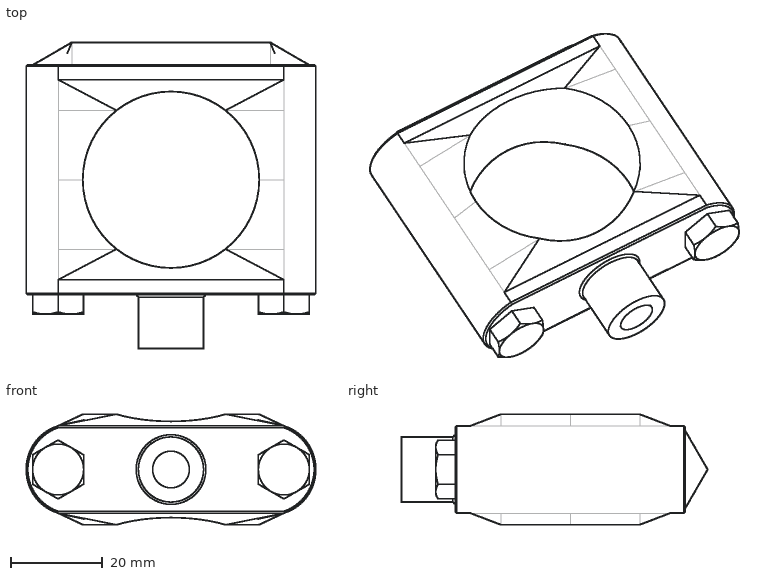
import cadquery as cq
import math

boss_end_y = -36.83
overall_length = 66.79
ridge_y = boss_end_y + overall_length

body_width = 63.17
body_thickness = 19.05
body_half_length = 25.1
flat_half_width = 24.6
edge_chamfer = 0.4

roof_half_width = 21.6
roof_angle = 30.0
roof_base_radius = (ridge_y - body_half_length) / math.tan(math.radians(roof_angle))

bore_radius = 19.2
pad_half_thickness = 24.13 / 2
pad_half_length = 21.8
arc_end_y = 15.1
arc_end_x = math.sqrt(bore_radius**2 - arc_end_y**2)
arc_middle_angle = math.atan2(arc_end_y, arc_end_x) / 2

boss_diameter = 14.2
boss_chamfer = 0.5
hole_diameter = 8.0
hole_depth = 12.0
drill_tip_angle = 118.0

bolt_x = flat_half_width
head_across_flats = 11.11
head_height = 4.2
head_chamfer_angle = 30.0


def end_plane(y):
    """Sketch plane across the part at the given Y, with its normal toward -Y."""
    return cq.Workplane("XZ", origin=(0, y, 0))


def make_body():
    half_width = body_width / 2
    half_thickness = body_thickness / 2
    body = (
        end_plane(body_half_length)
        .moveTo(-flat_half_width, half_thickness)
        .lineTo(flat_half_width, half_thickness)
        .threePointArc((half_width, 0), (flat_half_width, -half_thickness))
        .lineTo(-flat_half_width, -half_thickness)
        .threePointArc((-half_width, 0), (-flat_half_width, half_thickness))
        .close()
        .extrude(2 * body_half_length)
    )
    return body.faces("<Y or >Y").chamfer(edge_chamfer)


def make_roof():
    """Gabled roof with conical ends."""
    roof = (
        cq.Workplane("YZ", origin=(-roof_half_width, 0, 0))
        .polyline([
            (body_half_length, -roof_base_radius),
            (ridge_y, 0),
            (body_half_length, roof_base_radius),
        ])
        .close()
        .extrude(2 * roof_half_width)
    )
    for x in (-roof_half_width, roof_half_width):
        cone = cq.Solid.makeCone(
            roof_base_radius,
            0,
            ridge_y - body_half_length,
            pnt=cq.Vector(x, body_half_length, 0),
            dir=cq.Vector(0, 1, 0),
        )
        roof = roof.union(cq.Workplane(cone))
    return roof


def make_pad_slopes():
    """Flat slopes of both pads, common to the width and length profiles."""

    def octagonal_outline(plane, foot, crest):
        half_thickness = body_thickness / 2
        return plane.polyline([
            (-foot, half_thickness),
            (-crest, pad_half_thickness),
            (crest, pad_half_thickness),
            (foot, half_thickness),
            (foot, -half_thickness),
            (crest, -pad_half_thickness),
            (-crest, -pad_half_thickness),
            (-foot, -half_thickness),
        ]).close()

    across = octagonal_outline(end_plane(0), flat_half_width, arc_end_x)
    along = octagonal_outline(cq.Workplane("YZ"), pad_half_length, arc_end_y)
    return across.extrude(pad_half_length, both=True).intersect(
        along.extrude(flat_half_width, both=True)
    )


def make_pad_flank():
    """Quarter of the stock beside the bore, ruled above and below from bore arc to straight foot.

    The stock reaches inside the bore radius, so cutting the bore leaves one plain cylinder.
    """
    foot_z = body_thickness / 2
    crest_z = pad_half_thickness

    def bore_arc(z):
        middle_x = bore_radius * math.cos(arc_middle_angle)
        middle_y = bore_radius * math.sin(arc_middle_angle)
        return cq.Edge.makeThreePointArc(
            cq.Vector(bore_radius, 0, z),
            cq.Vector(middle_x, middle_y, z),
            cq.Vector(arc_end_x, arc_end_y, z),
        )

    def line_along_y(x, z):
        return cq.Edge.makeLine(cq.Vector(x, 0, z), cq.Vector(x, arc_end_y, z))

    def end_face(section, y):
        points = [cq.Vector(x, y, z) for x, z in section]
        return cq.Face.makeFromWires(cq.Wire.makePolygon(points, close=True))

    def side_wall(x, half_height):
        return cq.Face.makeRuledSurface(line_along_y(x, -half_height), line_along_y(x, half_height))

    def crest_face(z):
        corner = cq.Vector(arc_end_x, 0, z)
        return cq.Face.makeFromWires(cq.Wire.assembleEdges([
            cq.Edge.makeLine(corner, cq.Vector(bore_radius, 0, z)),
            bore_arc(z),
            cq.Edge.makeLine(cq.Vector(arc_end_x, arc_end_y, z), corner),
        ]))

    outer_section = [
        (arc_end_x, crest_z),
        (flat_half_width, foot_z),
        (flat_half_width, -foot_z),
        (arc_end_x, -crest_z),
    ]
    middle_section = [
        (arc_end_x, crest_z),
        (bore_radius, crest_z),
        (flat_half_width, foot_z),
        (flat_half_width, -foot_z),
        (bore_radius, -crest_z),
        (arc_end_x, -crest_z),
    ]
    faces = [
        side_wall(arc_end_x, crest_z),
        side_wall(flat_half_width, foot_z),
        end_face(middle_section, 0),
        end_face(outer_section, arc_end_y),
    ]
    for side in (-1, 1):
        faces.append(crest_face(side * crest_z))
        faces.append(
            cq.Face.makeRuledSurface(bore_arc(side * crest_z), line_along_y(flat_half_width, side * foot_z))
        )
    return cq.Solid.makeSolid(cq.Shell.makeShell(faces))


def add_pad_flanks(part):
    half = cq.Workplane(make_pad_flank())
    half = half.union(half.mirror("XZ"))
    return part.union(half).union(half.mirror("YZ"))


def make_boss():
    length = -boss_end_y - body_half_length
    boss = end_plane(-body_half_length).circle(boss_diameter / 2).extrude(length)
    root = cq.Solid.makeCone(
        boss_diameter / 2 + boss_chamfer,
        boss_diameter / 2,
        boss_chamfer,
        pnt=cq.Vector(0, -body_half_length, 0),
        dir=cq.Vector(0, -1, 0),
    )
    return boss.union(cq.Workplane(root))


def make_boss_hole():
    """Drilled hole with a conical bottom, entering from the boss end."""
    radius = hole_diameter / 2
    tip_depth = hole_depth + radius / math.tan(math.radians(drill_tip_angle / 2))
    return (
        cq.Workplane("XY", origin=(0, boss_end_y, 0))
        .polyline([(0, 0), (radius, 0), (radius, hole_depth), (0, tip_depth)])
        .close()
        .revolve(360, (0, 0), (0, 1))
    )


def make_bolt_head(x):
    """Hexagonal head with two flats facing X and its corners turned down."""
    across_corners = head_across_flats / math.cos(math.pi / 6)
    corner_rise = (across_corners - head_across_flats) / 2
    chamfer_drop = corner_rise * math.tan(math.radians(head_chamfer_angle))
    head = (
        cq.Workplane("XZ", origin=(x, -body_half_length, 0))
        .transformed(rotate=(0, 0, 90))
        .polygon(6, across_corners)
        .extrude(head_height)
    )
    outer_radius = across_corners / 2
    turned = (
        cq.Workplane("XY", origin=(x, -body_half_length, 0))
        .polyline([
            (0, 0),
            (outer_radius, 0),
            (outer_radius, chamfer_drop - head_height),
            (head_across_flats / 2, -head_height),
            (0, -head_height),
        ])
        .close()
        .revolve(360, (0, 0), (0, 1))
    )
    return head.intersect(turned)


bore = (
    cq.Workplane("XY", origin=(0, 0, -pad_half_thickness))
    .circle(bore_radius)
    .extrude(2 * pad_half_thickness)
)

result = make_body().union(make_roof()).union(make_pad_slopes())
result = add_pad_flanks(result).cut(bore)
result = result.union(make_boss()).cut(make_boss_hole())
for head_x in (-bolt_x, bolt_x):
    result = result.union(make_bolt_head(head_x))